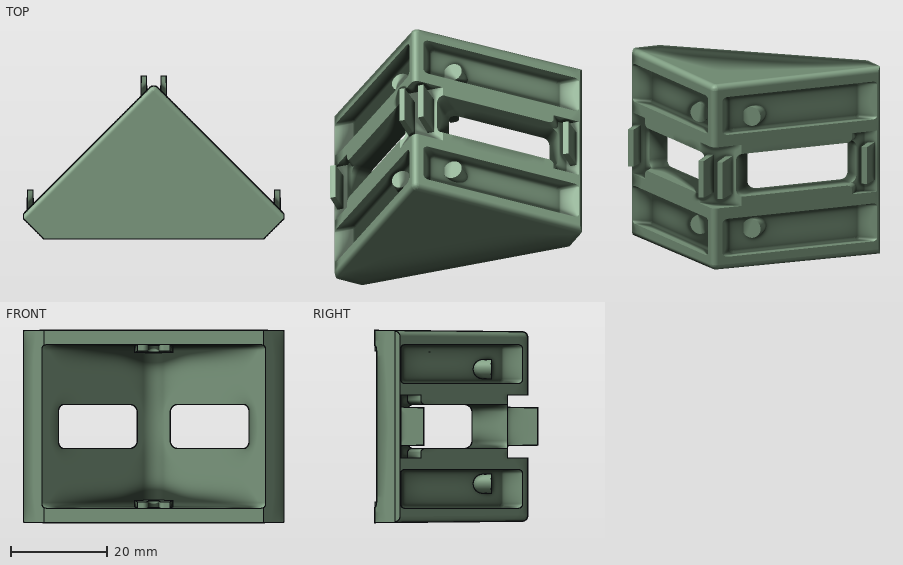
import cadquery as cq
import math

WIDTH = 54.15
HEIGHT = 40.0
OUTER_APEX = 32.35
INNER_APEX = 23.65
END_SPAN = 22.85
OUTER_ROUND = 1.2
INNER_CORNER_ROUND = 2.9
OUTER_DRAFT = 0.55
INNER_DRAFT = 0.85
CAVITY_HALF_HEIGHT = 17.0
CAVITY_ROUND = 1.1
CAVITY_OVERRUN = 2.7
BEYOND = 43.3
OVERLAP = 0.55

RIB_HEIGHT = 1.35
RIB_TIP_HALF = 3.35
RIB_ROOT_HALF = 4.1
RIB_TIP_Y = 0.05
RIB_ROOT_Y = 22.75
RIB_SLOT_MOUTH_HALF = 1.25
RIB_SLOT_END_HALF = 1.1
RIB_SLOT_END_Y = 11.65
RIB_TIP_ROUND = 1.0

WINDOW_HALF_HEIGHT = 4.55
WINDOW_NEAR_X = 3.45
WINDOW_ROUND = 1.5

NOTCH_HALF_HEIGHT = 6.5
APEX_NOTCH_Y = 27.6
END_NOTCH_X = 22.75
END_NOTCH_Y = 5.45
END_NOTCH_APEX = 29.55
NOTCH_LIP_ROUND = 0.9

TAB_THICKNESS = 1.35
TAB_HEIGHT = 8.0
TAB_DRAFT = 1.0
APEX_TAB_X = 2.05
APEX_TAB_TIP = 33.9
END_TAB_X = 25.65
END_TAB_TIP = 10.25

POCKET_LOW = 8.95
POCKET_HIGH = 17.0
POCKET_NEAR_X = 1.55
POCKET_APEX = 28.15
POCKET_WALL_ROUND = 0.9
POCKET_FLOOR_ROUND = 0.6
POCKET_END_ROUND = 0.7
PAD_X = 5.7
PAD_Z = 11.9
PAD_RADIUS = 2.0
PAD_TOP = 24.25


def prism(points, low, high):
    """Extrude an XY outline between two Z levels."""
    return cq.Workplane("XY").workplane(offset=low).polyline(points).close().extrude(high - low)


def both_sides(solid):
    """Join a +X feature with its mirror image on -X."""
    return solid.union(solid.mirror("YZ"))


def drafted_slab(half_height, draft):
    """Slab that gets thinner toward +Y, with the given half height at Y = 0."""
    change = BEYOND * math.tan(math.radians(draft))
    front = half_height + change
    back = half_height - change
    outline = [(-BEYOND, -front), (BEYOND, -back), (BEYOND, back), (-BEYOND, front)]
    return cq.Workplane("YZ").polyline(outline).close().extrude(BEYOND, both=True)


def make_body():
    """Solid wedge whose sharp leg ends are cut off flat at the overall width."""
    corner_x = (OUTER_APEX + END_SPAN) / 2
    corner_y = (OUTER_APEX - END_SPAN) / 2
    outline = [(-END_SPAN, 0), (END_SPAN, 0), (corner_x, corner_y), (0, OUTER_APEX), (-corner_x, corner_y)]
    body = prism(outline, -HEIGHT, HEIGHT).edges("|Z and >Y").fillet(OUTER_ROUND)
    body = body.intersect(drafted_slab(HEIGHT / 2, OUTER_DRAFT))
    leg_edges = cq.selectors.BoxSelector(
        (-corner_x, corner_y + OVERLAP, -HEIGHT), (corner_x, OUTER_APEX, HEIGHT)
    )
    body = body.edges(leg_edges).edges("not |Z").fillet(OUTER_ROUND)
    return body.intersect(cq.Workplane("XY").box(WIDTH, 2 * BEYOND, HEIGHT))


def make_cavity():
    """Space between the legs and the two side walls, open to the front."""
    half_width = INNER_APEX + CAVITY_OVERRUN
    outline = [(-half_width, -CAVITY_OVERRUN), (half_width, -CAVITY_OVERRUN), (0, INNER_APEX)]
    cavity = prism(outline, -HEIGHT, HEIGHT).edges("|Z and >Y").fillet(INNER_CORNER_ROUND)
    cavity = cavity.intersect(drafted_slab(CAVITY_HALF_HEIGHT, INNER_DRAFT))
    return cavity.edges("not(|Z or <Y)").fillet(CAVITY_ROUND)


def make_ribs():
    """Tapered forked ribs on both side walls, each as high as RIB_HEIGHT along its whole length."""
    outline = [
        (-RIB_TIP_HALF, RIB_TIP_Y),
        (RIB_TIP_HALF, RIB_TIP_Y),
        (RIB_ROOT_HALF, RIB_ROOT_Y),
        (-RIB_ROOT_HALF, RIB_ROOT_Y),
    ]
    embedded_z = CAVITY_HALF_HEIGHT + OVERLAP
    arc_start_y = RIB_SLOT_END_Y - RIB_SLOT_END_HALF
    slot = (
        cq.Workplane("XY")
        .moveTo(-RIB_SLOT_MOUTH_HALF, RIB_TIP_Y)
        .lineTo(RIB_SLOT_MOUTH_HALF, RIB_TIP_Y)
        .lineTo(RIB_SLOT_END_HALF, arc_start_y)
        .threePointArc((0, RIB_SLOT_END_Y), (-RIB_SLOT_END_HALF, arc_start_y))
        .close()
        .extrude(HEIGHT, both=True)
    )
    ribs = prism(outline, -embedded_z, embedded_z).cut(slot)
    slot_mouth = cq.selectors.BoxSelector(
        (-RIB_SLOT_MOUTH_HALF - OVERLAP, RIB_TIP_Y - OVERLAP, -HEIGHT),
        (RIB_SLOT_MOUTH_HALF + OVERLAP, RIB_TIP_Y + OVERLAP, HEIGHT),
    )
    ribs = ribs.edges("|Z").edges(slot_mouth).fillet(RIB_TIP_ROUND)
    return ribs.cut(drafted_slab(CAVITY_HALF_HEIGHT - RIB_HEIGHT, INNER_DRAFT))


def make_window():
    """Opening through the +X leg: near wall faces along X, far wall is square to the leg."""
    far_span = 2 * END_NOTCH_X - END_NOTCH_APEX
    below = INNER_APEX - OVERLAP
    above = OUTER_APEX + 2 * OVERLAP
    outline = [
        (WINDOW_NEAR_X, below - WINDOW_NEAR_X),
        (WINDOW_NEAR_X, above - WINDOW_NEAR_X),
        ((above + far_span) / 2, (above - far_span) / 2),
        ((below + far_span) / 2, (below - far_span) / 2),
    ]
    window = prism(outline, -WINDOW_HALF_HEIGHT, WINDOW_HALF_HEIGHT)
    window = window.faces("<X").edges("|Y").fillet(WINDOW_ROUND)
    return window.faces(">(1,-1,0)").edges("|(1,1,0)").fillet(WINDOW_ROUND)


def make_end_notch():
    """Recess around the +X end tab, with a rounded lip where it opens into the window."""
    floor_x = END_NOTCH_APEX - END_NOTCH_Y
    wall_y = END_NOTCH_APEX - END_NOTCH_X
    outline = [
        (BEYOND, END_NOTCH_Y),
        (floor_x, END_NOTCH_Y),
        (END_NOTCH_X, wall_y),
        (END_NOTCH_X, BEYOND),
        (BEYOND, BEYOND),
    ]
    notch = prism(outline, -NOTCH_HALF_HEIGHT, NOTCH_HALF_HEIGHT)

    lip_x = END_NOTCH_X - NOTCH_LIP_ROUND
    lip_z = WINDOW_HALF_HEIGHT + NOTCH_LIP_ROUND
    mid = NOTCH_LIP_ROUND * math.sqrt(0.5)
    lip = (
        cq.Workplane("XZ")
        .moveTo(lip_x, -WINDOW_HALF_HEIGHT)
        .threePointArc((lip_x + mid, mid - lip_z), (END_NOTCH_X, -lip_z))
        .lineTo(END_NOTCH_X, lip_z)
        .threePointArc((lip_x + mid, lip_z - mid), (lip_x, WINDOW_HALF_HEIGHT))
        .close()
        .extrude(-BEYOND)
    )
    above_floor = [(END_NOTCH_APEX, 0), (BEYOND, 0), (BEYOND, BEYOND), (0, BEYOND), (0, END_NOTCH_APEX)]
    return notch.union(lip.intersect(prism(above_floor, -HEIGHT, HEIGHT)))


def make_apex_notch():
    """Flat that replaces the outer corner between the two apex tabs."""
    center = (0, APEX_NOTCH_Y + BEYOND / 2, 0)
    return cq.Workplane("XY").box(BEYOND, BEYOND, 2 * NOTCH_HALF_HEIGHT).translate(center)


def make_pocket():
    """Upper pocket of the +X leg."""
    outline = [
        (POCKET_NEAR_X, POCKET_APEX - POCKET_NEAR_X),
        (POCKET_NEAR_X, BEYOND),
        (BEYOND, BEYOND),
        (BEYOND, END_NOTCH_Y),
        (POCKET_APEX - END_NOTCH_Y, END_NOTCH_Y),
    ]
    pocket = prism(outline, POCKET_LOW, POCKET_HIGH)
    pocket = pocket.faces("<X").edges("|Y").fillet(POCKET_WALL_ROUND)
    pocket = pocket.faces("<Y").edges("|X").fillet(POCKET_END_ROUND)
    pocket = pocket.faces("<(1,1,0)").edges().fillet(POCKET_FLOOR_ROUND)
    pad_bottom = POCKET_APEX - PAD_X - 2 * PAD_RADIUS
    pad = (
        cq.Workplane("XZ", origin=(PAD_X, PAD_TOP, PAD_Z))
        .circle(PAD_RADIUS)
        .extrude(PAD_TOP - pad_bottom)
    )
    return pocket.cut(pad)


def make_tab(x, base, tip):
    """Tapered tab standing along +Y from the given base level."""
    return (
        cq.Workplane("XZ", origin=(x, base, 0))
        .rect(TAB_THICKNESS, TAB_HEIGHT)
        .extrude(base - tip, taper=TAB_DRAFT)
    )


result = make_body().cut(make_cavity()).union(make_ribs())
result = result.cut(both_sides(make_window()))
result = result.cut(both_sides(make_end_notch())).cut(make_apex_notch())
pocket = both_sides(make_pocket())
result = result.cut(pocket).cut(pocket.mirror("XY"))
result = result.union(both_sides(make_tab(APEX_TAB_X, APEX_NOTCH_Y, APEX_TAB_TIP)))
result = result.union(both_sides(make_tab(END_TAB_X, END_NOTCH_Y, END_TAB_TIP)))